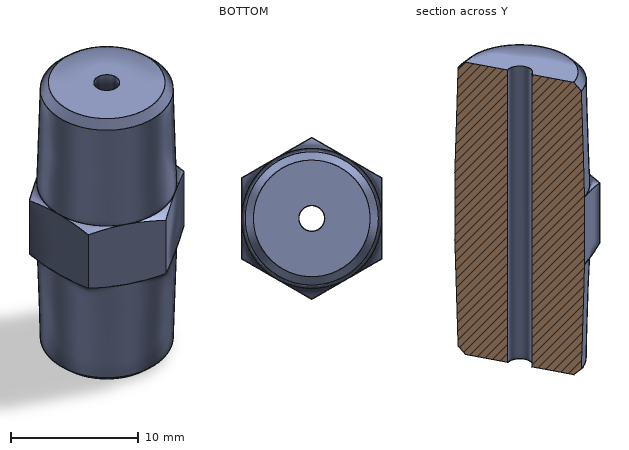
import cadquery as cq
import math

length = 26.0
across_flats = 11.0
hex_height = 6.0
bore_diameter = 2.0

tip_radius = 5.23
base_radius = 5.49
tip_chamfer = 0.65
collar_height = 0.45

hex_chamfer_angle = 22.0

mid_height = length / 2
hex_bottom = mid_height - hex_height / 2
corner_radius = across_flats / math.sqrt(3)
corner_turn = 360 / 12


def hexagon():
    """Hexagonal grip with corners on the Y axis and conically chamfered ends."""
    prism = (
        cq.Workplane("XY", origin=(0, 0, hex_bottom))
        .polygon(6, 2 * corner_radius)
        .extrude(hex_height)
        .rotate((0, 0, 0), (0, 0, 1), corner_turn)
    )
    flat_radius = across_flats / 2
    drop = (corner_radius - flat_radius) * math.tan(math.radians(hex_chamfer_angle))
    hex_top = hex_bottom + hex_height
    envelope = (
        cq.Workplane("XZ")
        .polyline([
            (0, hex_bottom),
            (flat_radius, hex_bottom),
            (corner_radius, hex_bottom + drop),
            (corner_radius, hex_top - drop),
            (flat_radius, hex_top),
            (0, hex_top),
        ])
        .close()
        .revolve(360, (0, 0, 0), (0, 1, 0))
    )
    return prism.intersect(envelope)


def lower_end():
    """Tapered end with a chamfered tip and a short straight collar at the hexagon."""
    return (
        cq.Workplane("XZ")
        .polyline([
            (0, 0),
            (tip_radius - tip_chamfer, 0),
            (tip_radius, tip_chamfer),
            (base_radius, hex_bottom - collar_height),
            (base_radius, hex_bottom),
            (0, hex_bottom),
        ])
        .close()
        .revolve(360, (0, 0, 0), (0, 1, 0))
    )


lower = lower_end()
upper = lower.mirror("XY", (0, 0, mid_height))
bore = cq.Workplane("XY").circle(bore_diameter / 2).extrude(length)

result = hexagon().union(lower).union(upper).cut(bore)